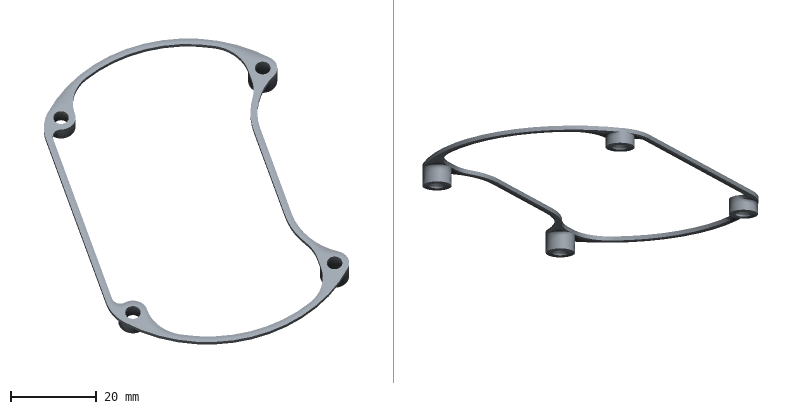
import math

import cadquery as cq

width = 87.2
depth = 57.5
height = 5.2

plate_thickness = 1.0
rim_width = 1.6
rear_bar_y = 19.85
front_edge_y = -depth / 2

boss_radius = 6.8 / 2
hole_radius = 3.6 / 2
boss_x = 29.0
rear_boss_y = depth / 2 - boss_radius
front_boss_y = -23.65
rear_boss_height = height
front_boss_height = 3.6

rear_sweep_radius = 16.0
opening_radius = 10.0
front_nook_radius = 2.0


def offset_point(start, target, distance):
    """Point at a distance from start, in the direction of target."""
    span = math.dist(start, target)
    return (
        start[0] + (target[0] - start[0]) * distance / span,
        start[1] + (target[1] - start[1]) * distance / span,
    )


def leg(hypotenuse, other_leg):
    """Missing leg of a right triangle."""
    return math.sqrt(hypotenuse**2 - other_leg**2)


def add_arc(path, center, start, end):
    """Extend path from start to end along the shorter arc about center."""
    chord_middle = ((start[0] + end[0]) / 2, (start[1] + end[1]) / 2)
    middle = offset_point(center, chord_middle, math.dist(center, start))
    return path.threePointArc(middle, end)


def make_left_rim():
    """Left half of the rim plate, bounded by tangent arcs."""
    rear_boss = (-boss_x, rear_boss_y)
    front_boss = (-boss_x, front_boss_y)

    boss_half_gap = (rear_boss_y - front_boss_y) / 2
    boss_inset = width / 2 - boss_x - boss_radius
    side_run = (boss_half_gap**2 - boss_inset**2) / (2 * boss_inset)
    side = (side_run - boss_x, (rear_boss_y + front_boss_y) / 2)
    side_radius = side[0] + width / 2
    side_inner_radius = side_radius - rim_width

    side_to_boss = math.dist(side, front_boss)
    drop_ratio = boss_half_gap / side_to_boss
    corner_shift = (front_boss_y - boss_radius - front_edge_y) / (1 - drop_ratio)
    front_corner = offset_point(front_boss, side, corner_shift)

    sweep_y = rear_bar_y + rear_sweep_radius
    sweep_run = leg(rear_sweep_radius + boss_radius, sweep_y - rear_boss_y)
    sweep = (sweep_run - boss_x, sweep_y)
    sweep_inner_radius = rear_sweep_radius + rim_width

    rear_level = rear_boss_y - boss_radius
    rear_arc_y = rear_level - opening_radius
    shoulder_run = leg(sweep_inner_radius + opening_radius, sweep_y - rear_arc_y)
    shoulder = (sweep[0] - shoulder_run, rear_arc_y)
    rear_corner_run = leg(side_inner_radius - opening_radius, rear_arc_y - side[1])
    rear_corner = (side[0] - rear_corner_run, rear_arc_y)

    to_side = side_inner_radius - opening_radius
    to_boss = opening_radius + boss_radius
    along = (to_boss**2 - to_side**2 + side_to_boss**2) / (2 * side_to_boss)
    foot = offset_point(front_boss, side, along)
    aside = leg(to_boss, along) / side_to_boss
    opening_corner = (
        foot[0] - aside * (side[1] - front_boss_y),
        foot[1] + aside * (side[0] + boss_x),
    )

    front_bar_inner_y = front_edge_y + rim_width
    nook_y = front_bar_inner_y + front_nook_radius
    nook_run = leg(front_nook_radius + boss_radius, nook_y - front_boss_y)
    nook = (nook_run - boss_x, nook_y)

    sweep_start = (sweep[0], rear_bar_y)
    sweep_end = offset_point(rear_boss, sweep, boss_radius)
    side_start = offset_point(side, rear_boss, side_radius)
    side_end = offset_point(side, front_boss, side_radius)
    front_corner_end = (front_corner[0], front_edge_y)

    nook_start = (nook[0], front_bar_inner_y)
    nook_end = offset_point(front_boss, nook, boss_radius)
    boss_end = offset_point(front_boss, opening_corner, boss_radius)
    opening_corner_end = offset_point(side, opening_corner, side_inner_radius)
    side_inner_end = offset_point(side, rear_corner, side_inner_radius)
    rear_corner_end = (rear_corner[0], rear_level)
    shoulder_start = (shoulder[0], rear_level)
    shoulder_end = offset_point(sweep, shoulder, sweep_inner_radius)
    sweep_inner_end = (sweep[0], rear_bar_y - rim_width)

    path = cq.Workplane("XY").moveTo(0, rear_bar_y).lineTo(*sweep_start)
    path = add_arc(path, sweep, sweep_start, sweep_end)
    path = add_arc(path, rear_boss, sweep_end, side_start)
    path = add_arc(path, side, side_start, side_end)
    path = add_arc(path, front_corner, side_end, front_corner_end)
    path = path.lineTo(0, front_edge_y).lineTo(0, front_bar_inner_y).lineTo(*nook_start)
    path = add_arc(path, nook, nook_start, nook_end)
    path = add_arc(path, front_boss, nook_end, boss_end)
    path = add_arc(path, opening_corner, boss_end, opening_corner_end)
    path = add_arc(path, side, opening_corner_end, side_inner_end)
    path = add_arc(path, rear_corner, side_inner_end, rear_corner_end)
    path = path.lineTo(*shoulder_start)
    path = add_arc(path, shoulder, shoulder_start, shoulder_end)
    path = add_arc(path, sweep, shoulder_end, sweep_inner_end)
    path = path.lineTo(0, rear_bar_y - rim_width)
    return path.close().extrude(-plate_thickness)


def make_cylinder(center, radius, top_z, bottom_z):
    """Upright cylinder between two levels; the top of the plate is Z = 0."""
    base = cq.Workplane("XY", origin=(*center, bottom_z))
    return base.circle(radius).extrude(top_z - bottom_z)


def add_boss(body, center, boss_height):
    """Hang a boss from the underside of the plate and drill it through."""
    body = body.union(make_cylinder(center, boss_radius, -plate_thickness, -boss_height))
    return body.cut(make_cylinder(center, hole_radius, 0, -boss_height))


left_rim = make_left_rim()
result = left_rim.union(left_rim.mirror("YZ"))

for x in (-boss_x, boss_x):
    result = add_boss(result, (x, rear_boss_y), rear_boss_height)
    result = add_boss(result, (x, front_boss_y), front_boss_height)